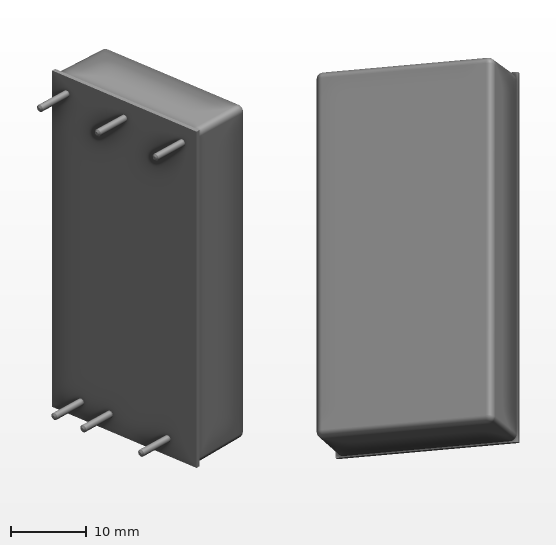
import cadquery as cq

width = 25.4
height = 50.8
total_depth = 15.8

plate_thickness = 0.6
pin_length = 5.6
pin_diameter = 1.0
pin_tip_chamfer = 0.25

cover_inset = 0.18
cover_taper = 0.8
cover_radius = 0.9

pin_pitch = 2.55
pin_row_z = 22.8
top_pin_steps = (-4, 0, 4)
bottom_pin_steps = (-3, -1, 3)

plate_front_y = -total_depth / 2 + pin_length
plate_back_y = plate_front_y + plate_thickness
cover_depth = total_depth - pin_length - plate_thickness


def make_plate():
    plate = cq.Workplane("XY").box(width, plate_thickness, height)
    return plate.translate((0, plate_front_y + plate_thickness / 2, 0))


def make_cover():
    foot = cq.Workplane("XZ", origin=(0, plate_back_y, 0)).rect(
        width - 2 * cover_inset, height - 2 * cover_inset
    )
    cover = foot.extrude(-cover_depth, taper=cover_taper)
    return cover.edges("not <Y").fillet(cover_radius)


def make_pin(x, z):
    pin = cq.Workplane("XZ", origin=(x, plate_front_y, z))
    pin = pin.circle(pin_diameter / 2).extrude(pin_length)
    return pin.faces("<Y").chamfer(pin_tip_chamfer)


result = make_plate().union(make_cover())
for row_z, steps in ((pin_row_z, top_pin_steps), (-pin_row_z, bottom_pin_steps)):
    for step in steps:
        result = result.union(make_pin(step * pin_pitch, row_z))